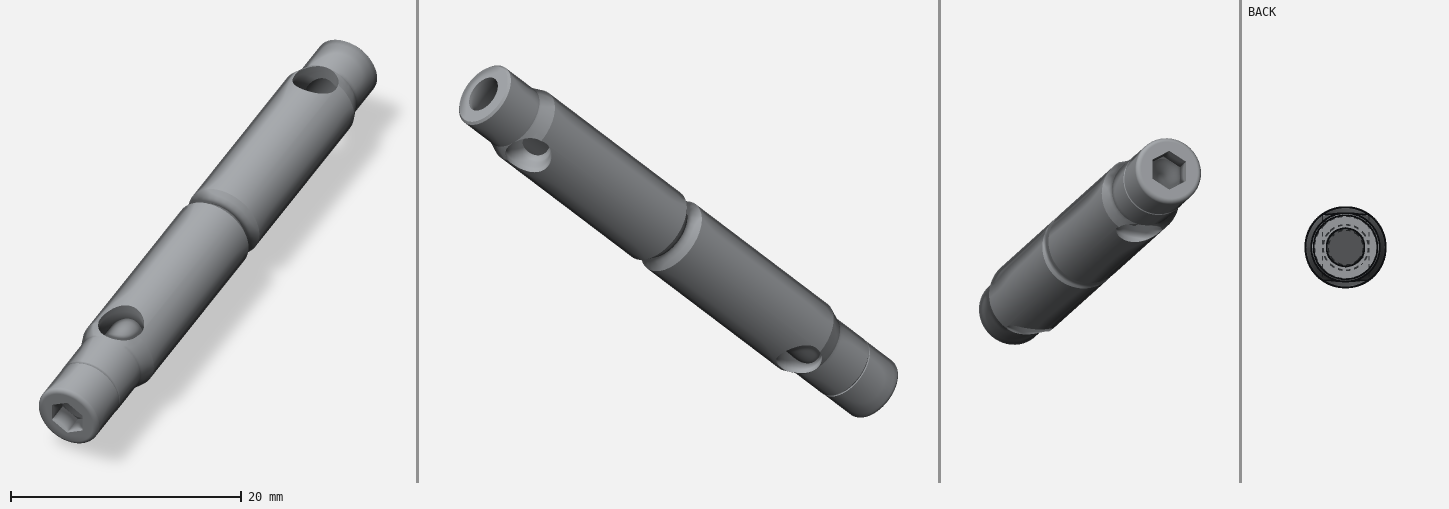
import cadquery as cq
import math

body_diameter = 7.0
stub_diameter = 5.95
half_length = 24.0
joint_y = 2.0

groove_half_width = 1.0
groove_bottom_diameter = 5.4
stub_length = 4.0
shoulder_length = 1.45
stub_end_chamfer = 0.2

cross_hole_diameter = 4.0
cross_hole_distance = half_length - stub_length - cross_hole_diameter / 2

clearance_bore_diameter = 4.0
thread_bore_diameter = 3.3

head_diameter = 5.9
head_length = 4.0
head_fillet = 0.4
shank_diameter = 3.9
screw_length = 35.0
hex_width = 3.0
hex_depth = 2.0
drill_point_angle = 120.0


def along_y(profile, start_y, direction):
    """Turn a (radius, distance) outline about Y, with its distances running from start_y."""
    points = [(radius, start_y + direction * distance) for radius, distance in profile]
    return cq.Workplane("XY").polyline(points).close().revolve(360, (0, 0), (0, 1))


def half_pin(direction, bore_diameter):
    """One half pin, reaching from the joint in the given Y direction."""
    stub_radius = stub_diameter / 2
    stub_start = half_length - stub_length
    outline = [
        (bore_diameter / 2, 0),
        (groove_bottom_diameter / 2, 0),
        (body_diameter / 2, groove_half_width),
        (body_diameter / 2, stub_start - shoulder_length),
        (stub_radius, stub_start),
        (stub_radius, half_length - stub_end_chamfer),
        (stub_radius - stub_end_chamfer, half_length),
        (bore_diameter / 2, half_length),
    ]
    cross_hole = (
        cq.Workplane("XY")
        .center(0, joint_y + direction * cross_hole_distance)
        .circle(cross_hole_diameter / 2)
        .extrude(body_diameter, both=True)
    )
    return along_y(outline, joint_y, direction).cut(cross_hole)


def cap_screw():
    """Screw with a shank through the front half pin and a thread core in the rear one."""
    seat_y = joint_y - half_length
    outline = [
        (0, -head_length),
        (head_diameter / 2, -head_length),
        (head_diameter / 2, 0),
        (shank_diameter / 2, 0),
        (shank_diameter / 2, half_length),
        (thread_bore_diameter / 2, half_length),
        (thread_bore_diameter / 2, screw_length),
        (0, screw_length),
    ]
    screw = along_y(outline, seat_y, 1).faces("<Y").edges().fillet(head_fillet)
    return screw.cut(hex_socket(seat_y - head_length))


def hex_socket(face_y):
    """Hexagonal socket with corners up and down, ending in a cone as wide as its flats."""
    corner_radius = hex_width / math.sqrt(3)
    hexagon = (
        cq.Workplane("XZ", origin=(0, face_y, 0))
        .transformed(rotate=(0, 0, 90))
        .polygon(6, 2 * corner_radius)
        .extrude(-hex_depth)
    )
    flat_radius = hex_width / 2
    point_depth = flat_radius / math.tan(math.radians(drill_point_angle / 2))
    cone = along_y([(0, 0), (flat_radius, 0), (0, point_depth)], face_y + hex_depth, 1)
    return hexagon.union(cone)


front_half_pin = half_pin(-1, clearance_bore_diameter)
rear_half_pin = half_pin(1, thread_bore_diameter)
screw = cap_screw()

result = cq.Compound.makeCompound([front_half_pin.val(), rear_half_pin.val(), screw.val()])